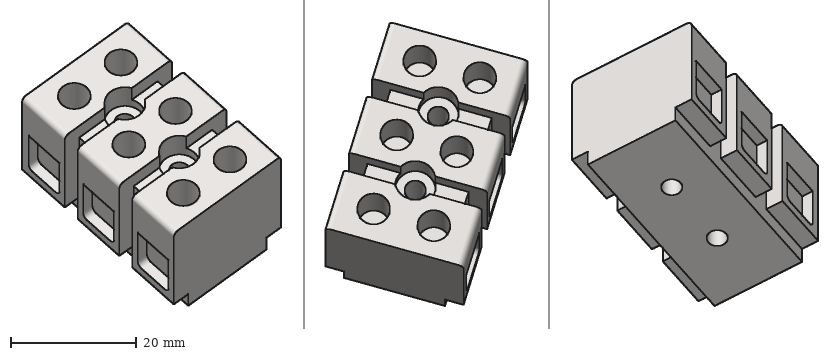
import cadquery as cq

length = 36.2
depth = 23.0
height = 22.0

block_count = 3
block_width = 9.92
block_gap = 3.08
block_pitch = block_width + block_gap
block_edge_radius = 1.0
last_block_x = length / 2 - block_width / 2
block_centers = [last_block_x - i * block_pitch for i in range(block_count)]
gap_centers = [x - block_pitch / 2 for x in block_centers[:-1]]

core_depth = 16.8
foot_height = 3.1
web_drop = 3.1
web_top = height - web_drop

screw_diameter = 5.2
screw_row_offset = 5.0
screw_hole_depth = 8.4

window_width = 7.3
window_bottom = 5.0
window_height = 8.6
window_corner_radius = 1.0
window_depth = 2.0

mount_diameter = 3.35
counterbore_diameter = 6.5
counterbore_depth = 5.0


def make_body():
    """Full-length block on a narrower foot, with rounded upper long edges."""
    upper = (
        cq.Workplane("XY")
        .workplane(offset=foot_height)
        .box(length, depth, height - foot_height, centered=(True, True, False))
        .edges("|X and >Z")
        .fillet(block_edge_radius)
    )
    foot = cq.Workplane("XY").box(length, core_depth, foot_height, centered=(True, True, False))
    return upper.union(foot)


def make_gap(x):
    """Space between two blocks: a slot around the web that joins them."""
    slot = cq.Workplane("XY").box(block_gap, depth, height, centered=(True, True, False))
    web = cq.Workplane("XY").box(block_gap, core_depth, web_top, centered=(True, True, False))
    return slot.cut(web).translate((x, 0, 0))


def make_window(x):
    """Wire window reaching in from the front face, rounded at its lower corners."""
    return (
        cq.Workplane("XY")
        .box(window_width, window_depth, window_height, centered=(True, False, False))
        .edges("|Y and <Z")
        .fillet(window_corner_radius)
        .translate((x, -depth / 2, window_bottom))
    )


result = make_body()

for gap_x in gap_centers:
    result = result.cut(make_gap(gap_x))

for block_x in block_centers:
    front_window = make_window(block_x)
    result = result.cut(front_window).cut(front_window.mirror("XZ"))

screw_points = [(x, y) for x in block_centers for y in (-screw_row_offset, screw_row_offset)]
screw_holes = (
    cq.Workplane("XY")
    .workplane(offset=height - screw_hole_depth)
    .pushPoints(screw_points)
    .circle(screw_diameter / 2)
    .extrude(screw_hole_depth)
)
result = result.cut(screw_holes)

mount_points = [(x, 0) for x in gap_centers]
mount_holes = cq.Workplane("XY").pushPoints(mount_points).circle(mount_diameter / 2).extrude(height)
counterbores = (
    cq.Workplane("XY")
    .workplane(offset=height - counterbore_depth)
    .pushPoints(mount_points)
    .circle(counterbore_diameter / 2)
    .extrude(counterbore_depth)
)
result = result.cut(mount_holes).cut(counterbores)